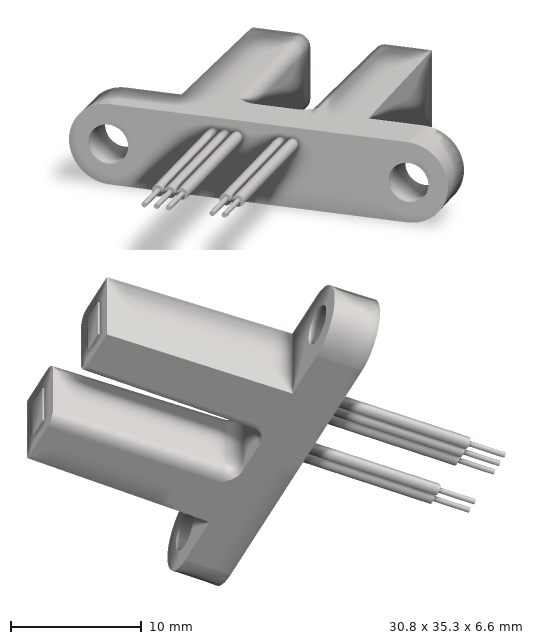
import cadquery as cq


total_length = 35.3
flange_length = 30.75
flange_height = 6.6
flange_thickness = 3.8
arm_end_y = 19.3
draft_angle = 0.5

arm_outer_base = 7.6
arm_outer_tip = 7.3
slot_half_base = 2.4
slot_half_tip = 2.58
slot_radius = 1.0

hole_diameter = 3.2
hole_spacing = 24.35

wire_diameter = 0.95
core_diameter = 0.42
wire_pitch = 1.0
wire_z = 1.95
insulation_length = 12.75
core_length = 15.85
wire_groups = [(-2.72, 3), (2.3, 2)]

pad_width = 1.85
pad_height = 3.5
pad_thickness = total_length - core_length - arm_end_y
pad_spacing = 10.15
pad_z = -0.18


def drafted_bar():
    """Round-ended bar along Y whose side surface tapers toward the arm tips."""
    return (
        cq.Workplane("XZ")
        .slot2D(flange_length, flange_height)
        .extrude(-arm_end_y, taper=draft_angle)
    )


def plan_prism():
    """Plan shape of the flange and the two arms, extruded over the full height."""
    right_half = [
        (flange_length / 2, 0),
        (flange_length / 2, flange_thickness),
        (arm_outer_base, flange_thickness),
        (arm_outer_tip, arm_end_y),
        (slot_half_tip, arm_end_y),
        (slot_half_base, flange_thickness),
    ]
    left_half = [(-x, y) for x, y in reversed(right_half)]
    return (
        cq.Workplane("XY")
        .polyline(right_half + left_half)
        .close()
        .extrude(flange_height / 2, both=True)
    )


def slot_edges(y_start, y_end):
    """Selector for edges centred in or on the slot between two Y values."""
    margin = 0.05
    half_width = slot_half_tip + margin
    return cq.selectors.BoxSelector(
        (-half_width, y_start - margin, -flange_height),
        (half_width, y_end + margin, flange_height),
    )


def round_slot(body):
    """Round the long slot edges of both arms, then the corners at the slot floor."""
    arm_middle_y = (flange_thickness + arm_end_y) / 2
    floor_edges = slot_edges(flange_thickness, flange_thickness)
    body = body.edges(slot_edges(arm_middle_y, arm_middle_y)).fillet(slot_radius)
    return body.edges(floor_edges).edges("not |X").fillet(slot_radius)


def rod(diameter, length, x):
    """Round rod from the flange face toward -Y, at wire height."""
    return cq.Workplane("XZ").center(x, wire_z).circle(diameter / 2).extrude(length)


def mounting_holes():
    return (
        cq.Workplane("XZ")
        .pushPoints([(-hole_spacing / 2, 0), (hole_spacing / 2, 0)])
        .circle(hole_diameter / 2)
        .extrude(-flange_thickness)
    )


def tip_pads():
    return (
        cq.Workplane("XZ", origin=(0, arm_end_y, 0))
        .pushPoints([(-pad_spacing / 2, pad_z), (pad_spacing / 2, pad_z)])
        .rect(pad_width, pad_height)
        .extrude(-pad_thickness)
    )


housing = round_slot(drafted_bar().intersect(plan_prism()))
result = housing.cut(mounting_holes()).union(tip_pads())

for group_x, wire_count in wire_groups:
    for index in range(wire_count):
        wire_x = group_x + (index - (wire_count - 1) / 2) * wire_pitch
        result = result.union(rod(wire_diameter, insulation_length, wire_x))
        result = result.union(rod(core_diameter, core_length, wire_x))